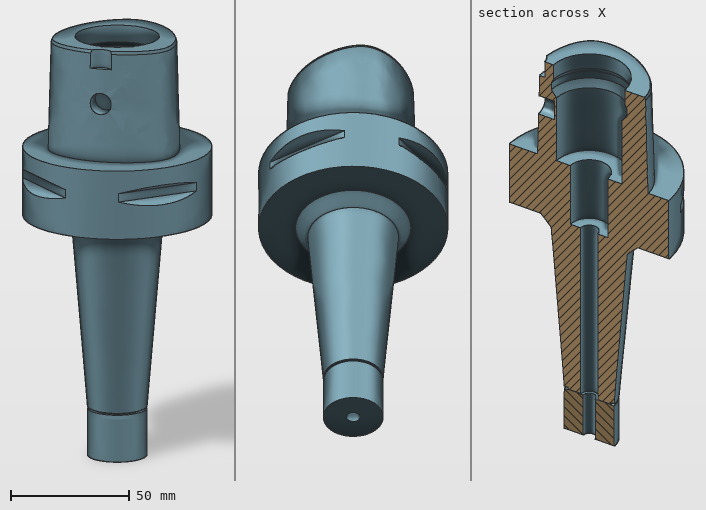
import cadquery as cq
import math

total_height = 183.0
flange_top_z = 134.9
flange_height = 29.8
flange_bottom_z = flange_top_z - flange_height
collar_height = 5.1
collar_bottom_z = flange_bottom_z - collar_height
shank_bottom_z = 21.5
nut_height = 20.5
nut_line_z = 18.7

flange_radius = 80.0 / 2
shank_top_radius = 19.2
collar_top_radius = shank_top_radius + collar_height
shank_bottom_radius = 12.6
neck_radius = 10.8
nut_radius = 12.6
nut_top_radius = 12.5
nut_hole_radius = 3.0

polygon_base_radius = 27.8
polygon_lobe = 1.8
polygon_rim_radius = 26.5
rim_height = 1.3
rim_inset = 0.5
polygon_points = 24

mouth_radius = 17.8
mouth_depth = 7.3
undercut_radius = 18.8
undercut_top_depth = 9.5
undercut_bottom_depth = 13.0
bore_radius = 16.3
bore_start_depth = 16.3
bore_floor_z = flange_top_z
bolt_hole_radius = 9.3
bolt_hole_floor_z = flange_bottom_z
coolant_radius = 4.2

side_hole_radius = 4.5
side_hole_z = 160.0
side_hole_floor_y = -17.4
key_radius = 6.0
key_depth = 7.9
key_center_y = -28.4

groove_count = 4
groove_z = 123.2
groove_floor_distance = 35.3
groove_floor_width = 3.7
groove_mouth_width = 8.6


def polygon_section(mean_radius, z):
    """Closed three-lobed curve with one lobe toward +Y; changing the mean radius offsets it."""
    points = []
    for index in range(polygon_points):
        angle = 2 * math.pi * index / polygon_points
        support = mean_radius - polygon_lobe * math.sin(3 * angle)
        slope = -3 * polygon_lobe * math.cos(3 * angle)
        x = support * math.cos(angle) - slope * math.sin(angle)
        y = support * math.sin(angle) + slope * math.cos(angle)
        points.append(cq.Vector(x, y, z))
    return cq.Wire.assembleEdges([cq.Edge.makeSpline(points, periodic=True)])


def revolve_profile(points):
    """Turn a (radius, z) outline about the Z axis."""
    return cq.Workplane("XZ").polyline(points).close().revolve(360, (0, 0, 0), (0, 1, 0))


def make_coupling():
    rim_z = total_height - rim_height
    base = polygon_section(polygon_base_radius, flange_top_z)
    rim = polygon_section(polygon_rim_radius, rim_z)
    top = polygon_section(polygon_rim_radius - rim_inset, total_height)
    cone = cq.Workplane(cq.Solid.makeLoft([base, rim], True))
    chamfer = cq.Workplane(cq.Solid.makeLoft([rim, top], True))
    return cone.union(chamfer)


def make_turned_body():
    """Flange, collar, tapered shank and the neck that rests on the nut."""
    return revolve_profile([
        (0, nut_height),
        (neck_radius, nut_height),
        (neck_radius, shank_bottom_z),
        (shank_bottom_radius, shank_bottom_z),
        (shank_top_radius, collar_bottom_z),
        (collar_top_radius, flange_bottom_z),
        (flange_radius, flange_bottom_z),
        (flange_radius, flange_top_z),
        (0, flange_top_z),
    ])


def make_bore():
    return revolve_profile([
        (0, total_height),
        (mouth_radius, total_height),
        (mouth_radius, total_height - mouth_depth),
        (undercut_radius, total_height - undercut_top_depth),
        (undercut_radius, total_height - undercut_bottom_depth),
        (bore_radius, total_height - bore_start_depth),
        (bore_radius, bore_floor_z),
        (bolt_hole_radius, bore_floor_z),
        (bolt_hole_radius, bolt_hole_floor_z),
        (coolant_radius, bolt_hole_floor_z),
        (coolant_radius, nut_height),
        (0, nut_height),
    ])


def make_side_hole():
    """Blind round hole entering from -Y."""
    length = flange_radius + side_hole_floor_y
    return (
        cq.Workplane("XZ", origin=(0, side_hole_floor_y, side_hole_z))
        .circle(side_hole_radius)
        .extrude(length)
    )


def make_key_notch():
    """Upright round-backed notch in the top rim."""
    return (
        cq.Workplane("XY", origin=(0, key_center_y, total_height - key_depth))
        .circle(key_radius)
        .extrude(key_depth)
    )


def make_gripper_groove(angle):
    """Straight groove with a flat floor and flared sides, facing the given direction."""
    half_floor = groove_floor_width / 2
    half_mouth = groove_mouth_width / 2
    return (
        cq.Workplane("XZ", origin=(0, 0, groove_z))
        .polyline([
            (groove_floor_distance, -half_floor),
            (flange_radius, -half_mouth),
            (flange_radius, half_mouth),
            (groove_floor_distance, half_floor),
        ])
        .close()
        .extrude(flange_radius, both=True)
        .rotate((0, 0, 0), (0, 0, 1), angle)
    )


def make_holder():
    holder = make_turned_body().union(make_coupling()).cut(make_bore())
    holder = holder.cut(make_side_hole()).cut(make_key_notch())
    groove_step = 360 / groove_count
    for index in range(groove_count):
        holder = holder.cut(make_gripper_groove((index + 0.5) * groove_step))
    return holder


def make_nut():
    """Round nut with a slightly tapered upper end and a through hole."""
    return revolve_profile([
        (nut_hole_radius, 0),
        (nut_radius, 0),
        (nut_radius, nut_line_z),
        (nut_top_radius, nut_height),
        (nut_hole_radius, nut_height),
    ])


holder = make_holder()
nut = make_nut()
result = cq.Compound.makeCompound([holder.val(), nut.val()])